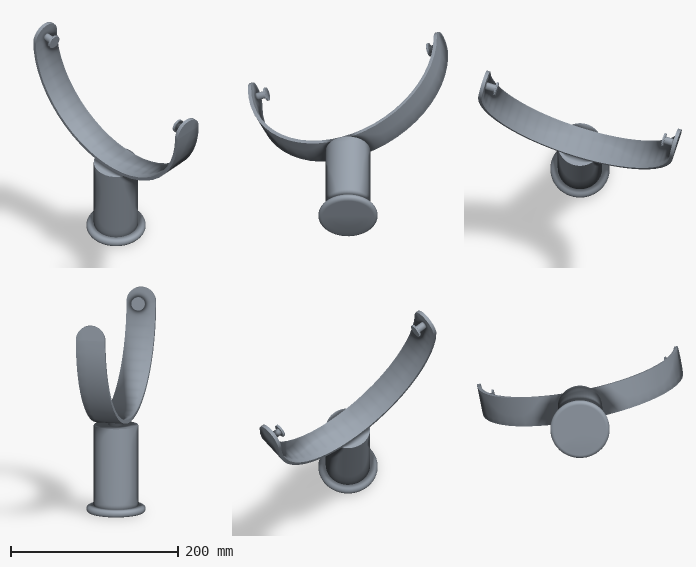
import cadquery as cq

total_height = 251.1
outer_width = 244.4
base_diameter = 71.0
column_diameter = 53.2
neck_diameter = 17.8
pin_diameter = 8.8
head_diameter = 16.0
strap_width = 35.7
strap_thickness = 4.3
base_height = 8.8
neck_height = 4.5
pin_length = 11.5
head_thickness = 2.5
notch_count = 24
notch_diameter = 0.5

base_flat_radius = (base_diameter - base_height) / 2
outer_radius = outer_width / 2
inner_radius = outer_radius - strap_thickness
tab_radius = strap_width / 2
arc_center_z = total_height - tab_radius
strap_bottom_z = arc_center_z - outer_radius
column_top_z = strap_bottom_z - neck_height
strap_middle_z = strap_bottom_z + strap_thickness / 2


def upright_cylinder(diameter, bottom_z, top_z):
    return cq.Workplane("XY", origin=(0, 0, bottom_z)).circle(diameter / 2).extrude(top_z - bottom_z)


def make_stand():
    """Round-edged base, column and the thin neck that enters the strap."""
    base = (
        cq.Workplane("XZ")
        .lineTo(base_flat_radius, 0)
        .threePointArc((base_diameter / 2, base_height / 2), (base_flat_radius, base_height))
        .lineTo(0, base_height)
        .close()
        .revolve(360, (0, 0, 0), (0, 1, 0))
    )
    column = upright_cylinder(column_diameter, base_height / 2, column_top_z)
    neck = upright_cylinder(neck_diameter, column_top_z, strap_middle_z)
    return base.union(column).union(neck)


def make_strap():
    """Half-ring strap, open upwards."""
    return (
        cq.Workplane("XZ", origin=(0, 0, arc_center_z))
        .moveTo(-outer_radius, 0)
        .threePointArc((0, -outer_radius), (outer_radius, 0))
        .lineTo(inner_radius, 0)
        .threePointArc((0, -inner_radius), (-inner_radius, 0))
        .close()
        .extrude(strap_width / 2, both=True)
    )


def make_left_tab():
    """Half-disc that rounds off the left end of the strap."""
    return (
        cq.Workplane("YZ", origin=(-outer_radius, 0, arc_center_z))
        .moveTo(-tab_radius, 0)
        .threePointArc((0, tab_radius), (tab_radius, 0))
        .close()
        .extrude(strap_thickness)
    )


def make_left_screw():
    """Inward pin with a knurled head; the pin starts inside the strap."""
    embed = strap_thickness / 2
    pin = (
        cq.Workplane("YZ", origin=(-inner_radius - embed, 0, arc_center_z))
        .circle(pin_diameter / 2)
        .extrude(embed + pin_length)
    )
    head_plane = cq.Workplane("YZ", origin=(-inner_radius + pin_length, 0, arc_center_z))
    head = head_plane.circle(head_diameter / 2).extrude(head_thickness)
    notches = (
        head_plane.polarArray(head_diameter / 2, 0, 360, notch_count)
        .circle(notch_diameter / 2)
        .extrude(head_thickness)
    )
    return pin.union(head.cut(notches))


left_end = make_left_tab().union(make_left_screw())
right_end = left_end.mirror("YZ")

result = make_stand().union(make_strap()).union(left_end).union(right_end)